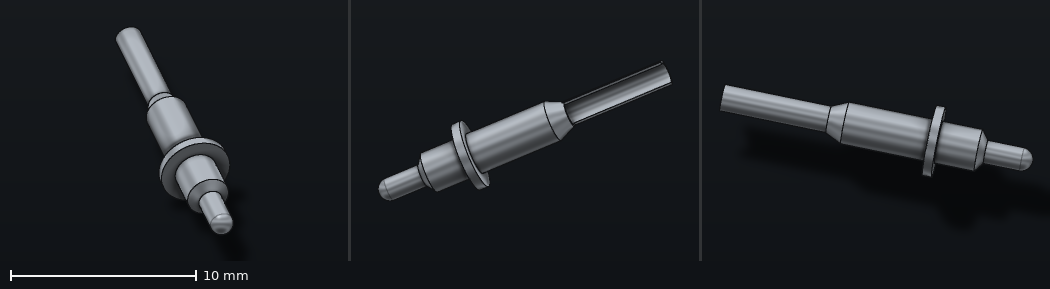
import cadquery as cq
import math

total_length = 17.15
nose_start = 5.8
nose_end = 6.77
flange_start = 11.44
flange_thickness = 0.51
shoulder_start = 14.15
shoulder_end = 14.55
dome_start = 16.55

flange_radius = 3.9 / 2
barrel_radius = 1.17
nose_tip_radius = 0.72
cup_radius = 0.75
bore_radius = 0.6
plunger_radius = 0.65


def cylinder(start, end, radius):
    """Round bar along X between two stations."""
    return cq.Workplane("YZ", origin=(start, 0, 0)).circle(radius).extrude(end - start)


def turned_body():
    """Tapered barrel and plunger with its domed tip, turned about the X axis."""
    dome_height = total_length - dome_start
    dome_radius = (plunger_radius**2 + dome_height**2) / (2 * dome_height)
    half_angle = math.asin(plunger_radius / dome_radius) / 2
    dome_center = total_length - dome_radius
    dome_middle = (
        dome_center + dome_radius * math.cos(half_angle),
        dome_radius * math.sin(half_angle),
    )
    return (
        cq.Workplane("XY")
        .moveTo(nose_start, 0)
        .lineTo(nose_start, nose_tip_radius)
        .lineTo(nose_end, barrel_radius)
        .lineTo(shoulder_start, barrel_radius)
        .lineTo(shoulder_end, plunger_radius)
        .lineTo(dome_start, plunger_radius)
        .threePointArc(dome_middle, (total_length, 0))
        .close()
        .revolve(360, (0, 0, 0), (1, 0, 0))
    )


def solder_cup():
    """Upper half of the round tail; it runs into the barrel's tapered nose."""
    taper_slope = (barrel_radius - nose_tip_radius) / (nose_end - nose_start)
    cup_end = nose_start + (cup_radius - nose_tip_radius) / taper_slope
    above_axis = cq.Workplane("XY").box(
        cup_end, 2 * cup_radius, cup_radius, centered=(False, True, False)
    )
    return cylinder(0, cup_end, cup_radius).intersect(above_axis)


flange = cylinder(flange_start, flange_start + flange_thickness, flange_radius)
bore = cylinder(0, nose_end, bore_radius)

result = turned_body().union(flange).union(solder_cup()).cut(bore)